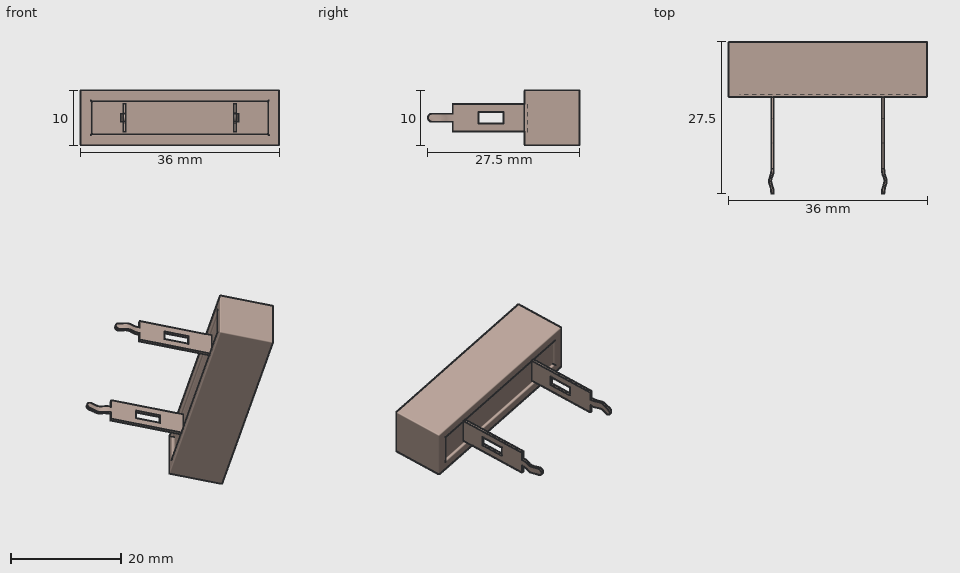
import cadquery as cq

case_length = 36.0
case_side = 10.0
edge_radius = 0.2

case_wall = 2.0
recess_depth = 0.5
floor_radius = 0.1
recess_length = case_length - 2 * case_wall
recess_height = case_side - 2 * case_wall

terminal_spacing = 20.0
terminal_thickness = 0.5
terminal_width = 5.0
terminal_reach = 13.0

window_length = 4.5
window_height = 2.0
window_start = 3.8

tab_width = 1.5
tab_length = 4.5
outer_bulge = 0.45
inner_bulge = 0.5
outer_quarter = 0.3
inner_quarter = 0.36



def make_case():
    case = (
        cq.Workplane("XY")
        .box(case_length, case_side, case_side)
        .translate((0, case_side / 2, 0))
        .edges()
        .fillet(edge_radius)
    )
    recess = (
        cq.Workplane("XZ")
        .rect(recess_length, recess_height)
        .extrude(-recess_depth)
        .faces(">Y")
        .edges()
        .fillet(floor_radius)
    )
    case = case.cut(recess)
    rim_reach_x = (case_length - case_wall) / 2
    rim_reach_z = (case_side - case_wall) / 2
    rim = cq.selectors.BoxSelector(
        (-rim_reach_x, -edge_radius / 2, -rim_reach_z),
        (rim_reach_x, edge_radius / 2, rim_reach_z),
    )
    return case.edges(rim).fillet(edge_radius)


def make_plate():
    """Flat blade from the recess floor outwards, centred on X = 0, with its window."""
    blade_length = terminal_reach + recess_depth
    blade = (
        cq.Workplane("XY")
        .box(terminal_thickness, blade_length, terminal_width)
        .translate((0, recess_depth - blade_length / 2, 0))
    )
    window = (
        cq.Workplane("XY")
        .box(2 * terminal_thickness, window_length, window_height)
        .translate((0, -window_start - window_length / 2, 0))
    )
    return blade.cut(window)


def wave_points(face_x, bulge, quarter_share):
    """Points from root to tip along one face of the tab, bulging towards -X."""
    shares = [0, quarter_share, 1, quarter_share, 0]
    step = tab_length / (len(shares) - 1)
    return [(face_x - bulge * share, -terminal_reach - i * step) for i, share in enumerate(shares)]


def make_tab():
    """Strip that leaves the blade straight, bulges towards -X and comes back at its tip."""
    root_y = -terminal_reach
    tip_y = root_y - tab_length
    outer_face = wave_points(-terminal_thickness / 2, outer_bulge, outer_quarter)
    inner_face = wave_points(terminal_thickness / 2, inner_bulge, inner_quarter)
    strip = (
        cq.Workplane("XY", origin=(0, 0, -tab_width / 2))
        .moveTo(*outer_face[0])
        .spline(outer_face, tangents=[(0, -1), (0, -1)])
        .lineTo(*inner_face[-1])
        .spline(inner_face[::-1], tangents=[(0, 1), (0, 1)])
        .close()
        .extrude(tab_width)
    )
    outline = (
        cq.Workplane("YZ")
        .moveTo(root_y, tab_width / 2)
        .lineTo(tip_y + tab_width / 2, tab_width / 2)
        .threePointArc((tip_y, 0), (tip_y + tab_width / 2, -tab_width / 2))
        .lineTo(root_y, -tab_width / 2)
        .close()
        .extrude(outer_bulge + terminal_thickness, both=True)
    )
    return strip.intersect(outline)


left_terminal = make_plate().union(make_tab()).translate((-terminal_spacing / 2, 0, 0))
right_terminal = left_terminal.mirror("YZ")

result = make_case().union(left_terminal).union(right_terminal)